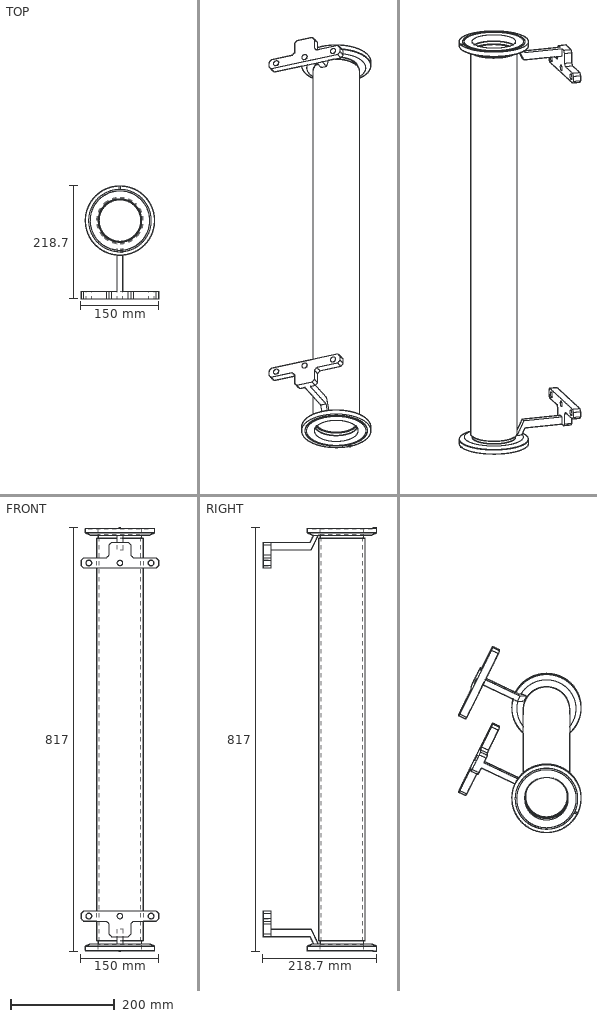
import cadquery as cq
import math

overall_length = 817.05
flange_length = 815.0
half_length = flange_length / 2
key_height = (overall_length - flange_length) / 2
key_width = 3.0

flange_diameter = 134.0
flange_thickness = 13.5
flange_bore = 84.0
rim_thickness = 8.5
rim_edge_height = 1.0
rim_edge_run = 0.5
cone_small_diameter = 114.0
groove_diameter = 120.7
groove_depth = 1.0
groove_taper = 3.0
flange_back = half_length - flange_thickness

neck_length = 5.0
neck_insertion = 1.0
neck_diameter = flange_bore
neck_bore = 82.0

tube_diameter = 90.0
tube_bore = 80.0
tube_chamfer = 1.0
tube_end = flange_back - neck_length

plate_front = -151.74
plate_thickness = 15.0
plate_back = plate_front + plate_thickness
bar_length = 150.0
bar_height = 20.0
tab_width = 42.0
plate_height = 50.0
corner_chamfer = 5.0
hole_diameter = 10.65
hole_spacing = 120.0
plate_top_drop = 27.0
plate_top = half_length - plate_top_drop
plate_bottom = plate_top - plate_height
bar_top = plate_bottom + bar_height

arm_width = 11.5
arm_height = 15.0
arm_root_inner = -45.5
arm_root_outer = -55.0
arm_slope = 26.0
arm_bottom = plate_top - arm_height


def revolve_about_z(profile):
    """Solid of revolution from (radius, height) points."""
    return cq.Workplane("YZ").polyline(profile).close().revolve(360, (0, 0, 0), (0, 1, 0))


def both_ends(body):
    """The body at the top end and its mirror image at the bottom end."""
    return [body.val(), body.mirror("XY").val()]


def make_tube():
    inner = tube_bore / 2
    outer = tube_diameter / 2
    chamfer_start = tube_end - tube_chamfer
    return revolve_about_z([
        (inner, -chamfer_start),
        (inner + tube_chamfer, -tube_end),
        (outer - tube_chamfer, -tube_end),
        (outer, -chamfer_start),
        (outer, chamfer_start),
        (outer - tube_chamfer, tube_end),
        (inner + tube_chamfer, tube_end),
        (inner, chamfer_start),
    ])


def make_neck_sleeve():
    return (
        cq.Workplane("XY", origin=(0, 0, tube_end))
        .circle(neck_diameter / 2)
        .circle(neck_bore / 2)
        .extrude(neck_length + neck_insertion)
    )


def make_flange():
    bore = flange_bore / 2
    rim = flange_diameter / 2
    groove = groove_diameter / 2
    rim_back = half_length - rim_thickness
    body = revolve_about_z([
        (bore, flange_back),
        (cone_small_diameter / 2, flange_back),
        (rim - rim_edge_run, rim_back - rim_edge_height),
        (rim, rim_back),
        (rim, half_length),
        (groove, half_length),
        (groove, half_length - groove_depth),
        (groove - groove_taper, half_length),
        (bore, half_length),
    ])
    rim_width = rim - groove
    key = (
        cq.Workplane("XY", origin=(0, rim - rim_width / 2, half_length))
        .box(key_width, rim_width, 2 * key_height)
    )
    return body.union(key)


def make_bracket_plate():
    bar_end = bar_length / 2
    tab_side = tab_width / 2
    right_side = [
        (bar_end - corner_chamfer, plate_bottom),
        (bar_end, plate_bottom + corner_chamfer),
        (bar_end, bar_top - corner_chamfer),
        (bar_end - corner_chamfer, bar_top),
        (tab_side + corner_chamfer, bar_top),
        (tab_side, bar_top + corner_chamfer),
        (tab_side, plate_top - corner_chamfer),
        (tab_side - corner_chamfer, plate_top),
    ]
    left_side = [(-x, z) for x, z in reversed(right_side)]
    plate = (
        cq.Workplane("XZ", origin=(0, plate_back, 0))
        .polyline(right_side + left_side)
        .close()
        .extrude(plate_thickness)
    )
    hole_z = plate_bottom + bar_height / 2
    holes = (
        cq.Workplane("XZ", origin=(0, plate_back, 0))
        .pushPoints([(x, hole_z) for x in (-hole_spacing / 2, 0, hole_spacing / 2)])
        .circle(hole_diameter / 2)
        .extrude(plate_thickness)
    )
    return plate.cut(holes)


def make_bracket_arm():
    run_per_drop = math.tan(math.radians(arm_slope))
    inner_bend = arm_root_inner - (flange_back - arm_bottom) * run_per_drop
    outer_bend = arm_root_outer - (flange_back - plate_top) * run_per_drop
    return (
        cq.Workplane("YZ", origin=(-arm_width / 2, 0, 0))
        .polyline([
            (arm_root_inner, flange_back),
            (inner_bend, arm_bottom),
            (plate_back, arm_bottom),
            (plate_back, plate_top),
            (outer_bend, plate_top),
            (arm_root_outer, flange_back),
        ])
        .close()
        .extrude(arm_width)
    )


def make_bracket():
    return make_bracket_plate().union(make_bracket_arm())


tube = make_tube()
neck_sleeves = both_ends(make_neck_sleeve())
flanges = both_ends(make_flange())
brackets = both_ends(make_bracket())

result = cq.Compound.makeCompound([tube.val(), *neck_sleeves, *flanges, *brackets])